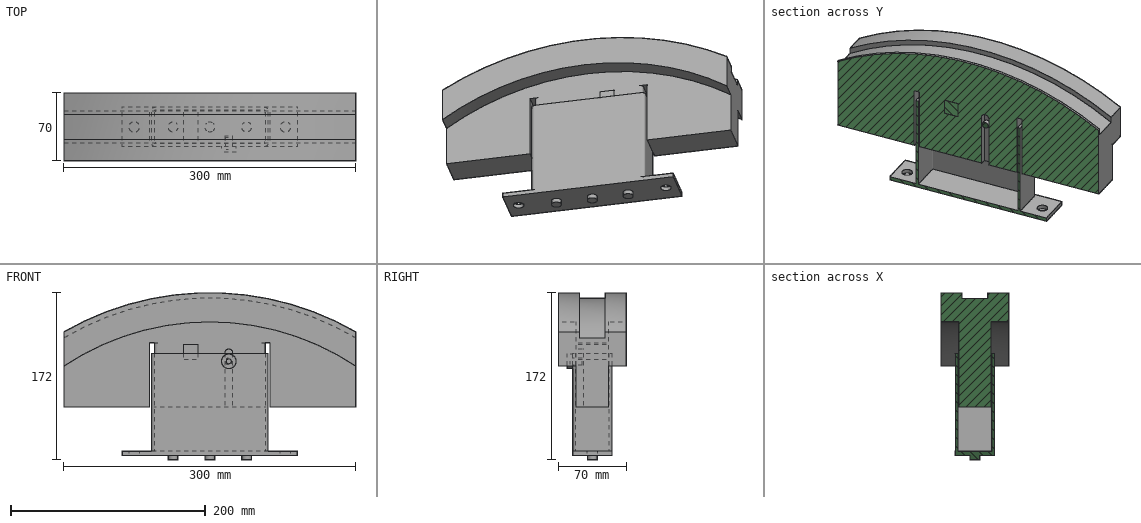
import cadquery as cq

shoe_length = 300.0
rim_width = 70.0
rim_radius = 300.0
rim_thickness = 30.0
rim_top = 167.5
groove_width = 26.0
groove_depth = 5.5
web_width = 33.3
web_bottom = 49.8
notch_width = 123.5
notch_top = 115.8
tongue_length = 114.0
tongue_corner_radius = 3.3

base_length = 180.0
base_thickness = 4.5
housing_length = 120.0
housing_width = 40.5
housing_top = 105.0
wall = 3.0
housing_corner_radius = 4.0
mount_hole_diameter = 10.8
mount_hole_x = 77.7
peg_diameter = 10.2
peg_height = 4.5
peg_spacing = 37.8

screw_x = 19.5
screw_z = 97.0
head_diameter = 15.0
head_height = 5.7
socket_diameter = 5.0
socket_depth = 3.0
slot_width = 8.0
slot_top = 109.5
slot_depth = 7.5
shank_diameter = 7.2
shank_tip_gap = 1.5

key_size = 15.0
key_x = -screw_x
key_top = 114.0

arc_center_z = rim_top - rim_radius
housing_front = -housing_width / 2
web_front = -web_width / 2


def box(length, width, bottom, top):
    """Box centred on X and Y between two heights."""
    return cq.Workplane("XY").box(length, width, top - bottom, (True, True, False)).translate((0, 0, bottom))


def disc(radius, width):
    """Cylinder along Y about the centre of the rim arc."""
    return cq.Workplane("XZ", origin=(0, 0, arc_center_z)).circle(radius).extrude(width / 2, both=True)


def rod_y(diameter, start_y, end_y):
    """Cylinder on the screw axis between two Y positions."""
    return cq.Workplane("XZ", origin=(screw_x, start_y, screw_z)).circle(diameter / 2).extrude(start_y - end_y)


def key_block():
    return box(key_size, web_width, key_top - key_size, key_top).translate((key_x, 0, 0))


def make_shoe():
    rim = disc(rim_radius, rim_width).cut(disc(rim_radius - rim_thickness, rim_width))
    rim = rim.intersect(box(shoe_length, rim_width, 0, rim_top))
    groove_bottom_radius = rim_radius - groove_depth
    groove = disc(rim_radius, groove_width).cut(disc(groove_bottom_radius, groove_width))

    web = box(shoe_length, web_width, web_bottom, rim_top)
    web = web.intersect(disc(groove_bottom_radius, web_width))
    web = web.cut(box(notch_width, web_width, web_bottom, notch_top))
    tongue = box(tongue_length, web_width, web_bottom, notch_top).edges("|Z").fillet(tongue_corner_radius)

    slot_center_z = slot_top - slot_width / 2
    slot = (
        cq.Workplane("XZ", origin=(screw_x, web_front + slot_depth, 0))
        .moveTo(-slot_width / 2, web_bottom)
        .lineTo(slot_width / 2, web_bottom)
        .lineTo(slot_width / 2, slot_center_z)
        .threePointArc((0, slot_top), (-slot_width / 2, slot_center_z))
        .close()
        .extrude(slot_depth)
    )
    return rim.cut(groove).union(web).union(tongue).cut(slot).cut(key_block())


def make_housing():
    shell = box(housing_length, housing_width, base_thickness, housing_top)
    shell = shell.edges("|Z").fillet(housing_corner_radius)
    cavity = box(housing_length - 2 * wall, housing_width - 2 * wall, base_thickness, housing_top)
    cavity = cavity.edges("|Z").fillet(housing_corner_radius - wall)

    base = box(base_length, housing_width, 0, base_thickness)
    for x in (-mount_hole_x, mount_hole_x):
        hole = cq.Workplane("XY").center(x, 0).circle(mount_hole_diameter / 2).extrude(base_thickness)
        base = base.cut(hole)

    housing = base.union(shell.cut(cavity))
    for x in (-peg_spacing, 0, peg_spacing):
        peg = cq.Workplane("XY").center(x, 0).circle(peg_diameter / 2).extrude(-peg_height)
        housing = housing.union(peg)
    return housing.cut(rod_y(shank_diameter, housing_front + wall, housing_front))


def make_screw():
    head_face = housing_front - head_height
    head = rod_y(head_diameter, housing_front, head_face)
    shank = rod_y(shank_diameter, web_front + slot_depth - shank_tip_gap, housing_front)
    socket = rod_y(socket_diameter, head_face + socket_depth, head_face)
    return head.union(shank).cut(socket)


shoe = make_shoe()
housing = make_housing()
screw = make_screw()
key = key_block()

bodies = [shoe, housing, screw, key]
result = cq.Compound.makeCompound([body.solids().val() for body in bodies])